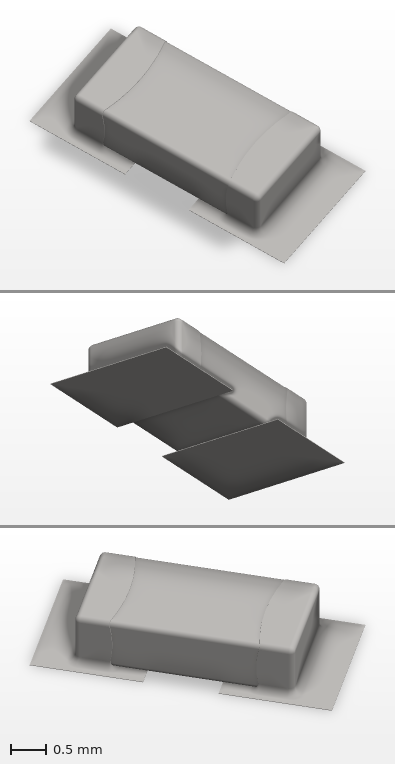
import cadquery as cq

overall_length = 4.4
overall_height = 0.82
pad_length = 1.65
pad_width = 2.0
pad_thickness = 0.01

chip_length = 3.2
chip_width = 1.6
chip_height = overall_height - pad_thickness
terminal_round = 0.08
flare_radius = 0.105
foot_inner_x = 1.07
foot_corner_round = 0.018

joint_corner_x = 1.105
joint_top_bulge = 0.115
joint_side_bulge = 0.055

body_inset = 0.01
body_width = chip_width - 2 * body_inset
body_height = chip_height - 2 * body_inset
body_round = terminal_round - body_inset

chip_middle_z = pad_thickness + chip_height / 2


def arc_radius(chord, bulge):
    """Radius of the arc that rises by bulge over a chord."""
    return (chord ** 2 / 4 + bulge ** 2) / (2 * bulge)


def make_joint_barrel():
    """Barrel about a vertical axis; its inner side is the bulged joint of the -X terminal."""
    end_radius = arc_radius(chip_width, joint_top_bulge)
    axis_x = -joint_corner_x + joint_top_bulge - end_radius
    top_z = pad_thickness + chip_height
    return (
        cq.Workplane("XZ")
        .moveTo(0, pad_thickness)
        .lineTo(end_radius, pad_thickness)
        .threePointArc((end_radius + joint_side_bulge, chip_middle_z), (end_radius, top_z))
        .lineTo(0, top_z)
        .close()
        .revolve(360, (0, 0, 0), (0, 1, 0))
        .translate((axis_x, 0, 0))
    )


def make_body(barrel):
    """Ceramic body with rounded long edges, hollowed at both ends to fit the terminals."""
    bar = (
        cq.Workplane("XY")
        .box(chip_length, body_width, body_height)
        .edges("|X")
        .fillet(body_round)
        .translate((0, 0, chip_middle_z))
    )
    return bar.cut(barrel).cut(barrel.mirror("YZ"))


def make_cap(barrel):
    """End block of the -X terminal, up to the bulged joint."""
    block = (
        cq.Workplane("XY")
        .workplane(offset=pad_thickness)
        .rect(chip_length, chip_width)
        .extrude(chip_height)
        .edges("|Z or >Z")
        .fillet(terminal_round)
    )
    return block.intersect(barrel)


def make_pad_and_foot():
    """Solder pad of the -X terminal with the concave flare that rises from it."""
    pad = cq.Workplane("XY").box(pad_length, pad_width, pad_thickness, centered=(False, True, False))
    pad = pad.translate((-overall_length / 2, 0, 0))
    foot_outer_x = -chip_length / 2
    foot_length = chip_length / 2 - foot_inner_x
    foot = (
        cq.Workplane("XY")
        .box(foot_length, chip_width, 2 * flare_radius, centered=(False, True, False))
        .edges("|Z and <X")
        .fillet(terminal_round)
        .edges("|Z and >X")
        .fillet(foot_corner_round)
        .translate((foot_outer_x, 0, pad_thickness))
    )
    foot_base = cq.selectors.BoxSelector(
        (foot_outer_x - foot_corner_round, -chip_width / 2 - foot_corner_round, pad_thickness / 2),
        (-foot_inner_x + foot_corner_round, chip_width / 2 + foot_corner_round, flare_radius / 2),
    )
    flared = pad.union(foot).edges(foot_base).fillet(flare_radius)
    keep = cq.Workplane("XY").box(
        2 * overall_length, 2 * pad_width, pad_thickness + flare_radius, centered=(True, True, False)
    )
    return flared.intersect(keep)


def make_terminal(barrel, body):
    """-X terminal: cap, flared foot and pad in one solid, fitted around the body."""
    return make_cap(barrel).union(make_pad_and_foot()).cut(body)


joint_barrel = make_joint_barrel()
ceramic_body = make_body(joint_barrel)
left_terminal = make_terminal(joint_barrel, ceramic_body)
terminals = [left_terminal, left_terminal.mirror("YZ")]

result = cq.Compound.makeCompound(
    [ceramic_body.solids().val(), *[terminal.solids().val() for terminal in terminals]]
)